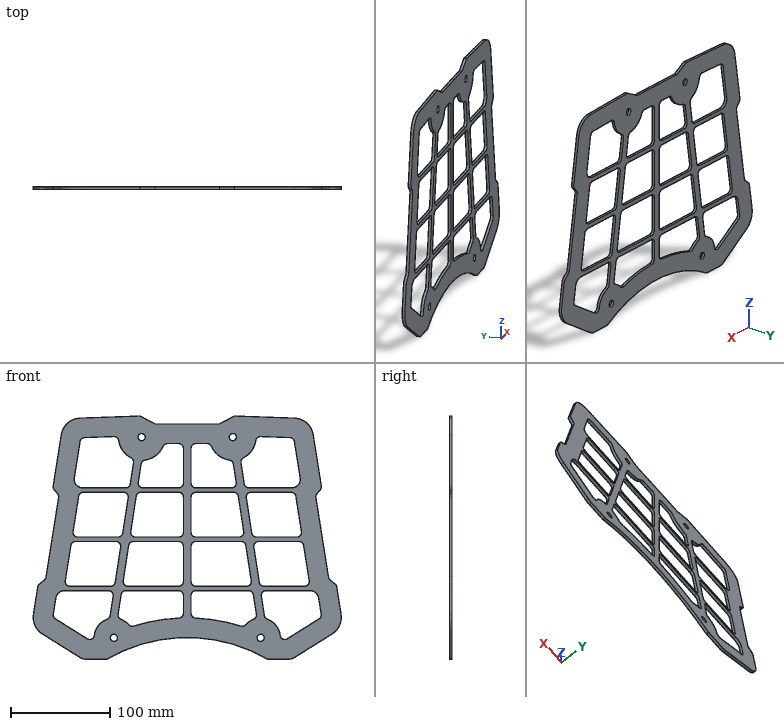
import cadquery as cq
import math

WIDTH = 310.29
HEIGHT = 244.95
THICKNESS = 3.0

RIM = 20.0
SIDE_ANGLE = 9.0
FOOT_ANGLE = 32.0
CORNER_RADIUS = 20.0
NOTCH_RADIUS = 5.0
BEND_RADIUS = 10.0

TOP_BEND_X = 47.5
TOP_ANGLE = 2.0
RECESS_X = 32.3
RECESS_DEPTH = 8.0
UPPER_SIDE_X = 128.7
UPPER_SIDE_Z = 214.5
NOTCH_TOP_Z = 172.0
NOTCH_UPPER_Z = 165.2
NOTCH_SHIFT = 7.3
NOTCH_LOWER_Z = 81.0
NOTCH_BOTTOM_Z = 74.6

FOOT_END_X = 105.2
ARCH_END_X = 80.8
ARCH_HEIGHT = 21.8

WINDOW_RADIUS = 4.5
WIDE_RADIUS = 8.5
BAR_WIDTH = 8.0
CROSS_BAR = 4.7
CROSS_BAR_LOWEST_Z = 71.3
CROSS_BAR_PITCH = 49.5
CROSS_BAR_COUNT = 3
LEAN_BAR_TOP_X = 46.2
LEAN_BAR_ANGLE = 8.7

BOLT_DIAMETER = 7.0
UPPER_BOLT = (45.9, 223.6)
LOWER_BOLT = (73.8, 21.6)
UPPER_BOSS_RADIUS = 23.5
LOWER_BOSS_RADIUS = 20.0

SIDE_SLOPE = math.tan(math.radians(SIDE_ANGLE))
FOOT_SLOPE = math.tan(math.radians(FOOT_ANGLE))
TOP_SLOPE = math.tan(math.radians(TOP_ANGLE))
SIDE_RIM = RIM / math.cos(math.radians(SIDE_ANGLE))
FOOT_RIM = RIM / math.cos(math.radians(FOOT_ANGLE))
TOP_RIM = RIM / math.cos(math.radians(TOP_ANGLE))

HALF_CORNER = math.radians(90 + FOOT_ANGLE - SIDE_ANGLE) / 2
BISECTOR = math.radians(90 + SIDE_ANGLE) + HALF_CORNER
CORNER_INSET = -math.cos(BISECTOR) / math.sin(HALF_CORNER) - 1
LOWER_CORNER_X = WIDTH / 2 + CORNER_RADIUS * CORNER_INSET
LOWER_CORNER_Z = (LOWER_CORNER_X - FOOT_END_X) * FOOT_SLOPE

ARCH_RADIUS = (ARCH_END_X ** 2 + ARCH_HEIGHT ** 2) / (2 * ARCH_HEIGHT)
ARCH_CENTER_Z = ARCH_HEIGHT - ARCH_RADIUS
RECESS_Z = HEIGHT - RECESS_DEPTH
CROSS_BAR_HEIGHTS = [CROSS_BAR_LOWEST_Z + i * CROSS_BAR_PITCH for i in range(CROSS_BAR_COUNT)]


def upper_side(z):
    return UPPER_SIDE_X + (UPPER_SIDE_Z - z) * SIDE_SLOPE


def middle_side(z):
    return upper_side(z) - NOTCH_SHIFT


def lower_side(z):
    return LOWER_CORNER_X - (z - LOWER_CORNER_Z) * SIDE_SLOPE


def top_edge(x):
    return HEIGHT - (x - TOP_BEND_X) * TOP_SLOPE


def foot_edge(x):
    return (x - FOOT_END_X) * FOOT_SLOPE


def arch_z(x):
    """Height of the inner edge of the arched rim."""
    return ARCH_CENTER_Z + math.sqrt((ARCH_RADIUS + RIM) ** 2 - x ** 2)


def top_corner(side_inset, top_inset):
    """Meeting point of the upper side line and top edge line, both moved inward."""
    top_at_center = top_edge(0) - top_inset
    side_at_zero = upper_side(0) - side_inset
    z = (top_at_center - side_at_zero * TOP_SLOPE) / (1 - SIDE_SLOPE * TOP_SLOPE)
    return upper_side(z) - side_inset, z


def extrude(sketch):
    return sketch.extrude(THICKNESS / 2, both=True)


def both_sides(solid):
    return solid.union(solid.mirror("YZ"))


def disc(x, z, radius):
    return extrude(cq.Workplane("XZ").center(x, z).circle(radius))


def round_corners(solid, corners, radius):
    """Round the edges through the plate at the given corners and their mirror images."""
    for x, z in corners:
        for side in (1, -1):
            edge = cq.selectors.NearestToPointSelector((side * x, 0, z))
            solid = solid.edges("|Y").edges(edge).fillet(radius)
    return solid


def make_plate():
    corner = top_corner(0, 0)
    notch_corners = [
        (upper_side(NOTCH_TOP_Z), NOTCH_TOP_Z),
        (middle_side(NOTCH_UPPER_Z), NOTCH_UPPER_Z),
        (middle_side(NOTCH_LOWER_Z), NOTCH_LOWER_Z),
        (lower_side(NOTCH_BOTTOM_Z), NOTCH_BOTTOM_Z),
    ]
    lower_corner = (LOWER_CORNER_X, LOWER_CORNER_Z)
    foot_end = (FOOT_END_X, 0)
    half = (
        cq.Workplane("XZ")
        .moveTo(0, RECESS_Z)
        .lineTo(RECESS_X, RECESS_Z)
        .lineTo(TOP_BEND_X, HEIGHT)
        .lineTo(*corner)
    )
    for point in notch_corners + [lower_corner, foot_end]:
        half = half.lineTo(*point)
    half = half.lineTo(ARCH_END_X, 0).lineTo(0, 0).close()
    plate = both_sides(extrude(half)).clean()
    plate = round_corners(plate, [corner, lower_corner], CORNER_RADIUS)
    plate = round_corners(plate, notch_corners, NOTCH_RADIUS)
    plate = round_corners(plate, [foot_end], BEND_RADIUS)
    return plate.cut(disc(0, ARCH_CENTER_Z, ARCH_RADIUS))


def make_window_area():
    """Right half of the area inside the rim; its side steps lie behind the cross bars."""
    low_bar, _, high_bar = CROSS_BAR_HEIGHTS
    corner_offset = RIM / math.sin(HALF_CORNER)
    corner_x = LOWER_CORNER_X + corner_offset * math.cos(BISECTOR)
    corner_z = LOWER_CORNER_Z + corner_offset * math.sin(BISECTOR)
    middle_x = LOWER_BOLT[0] / 2
    area = (
        cq.Workplane("XZ")
        .moveTo(0, RECESS_Z - RIM)
        .lineTo(UPPER_BOLT[0], RECESS_Z - RIM)
        .lineTo(UPPER_BOLT[0], top_edge(UPPER_BOLT[0]) - TOP_RIM)
        .lineTo(*top_corner(SIDE_RIM, TOP_RIM))
        .lineTo(upper_side(high_bar) - SIDE_RIM, high_bar)
        .lineTo(middle_side(high_bar) - SIDE_RIM, high_bar)
        .lineTo(middle_side(low_bar) - SIDE_RIM, low_bar)
        .lineTo(lower_side(low_bar) - SIDE_RIM, low_bar)
        .lineTo(corner_x, corner_z)
        .lineTo(LOWER_BOLT[0], foot_edge(LOWER_BOLT[0]) + FOOT_RIM)
        .lineTo(LOWER_BOLT[0], arch_z(LOWER_BOLT[0]))
        .threePointArc((middle_x, arch_z(middle_x)), (0, arch_z(0)))
        .close()
    )
    return extrude(area)


def make_bars():
    """Centre bar, cross bars and the leaning bar of the right half."""
    bars = extrude(cq.Workplane("XZ").center(0, HEIGHT / 2).rect(BAR_WIDTH, HEIGHT))
    for z in CROSS_BAR_HEIGHTS:
        bars = bars.union(extrude(cq.Workplane("XZ").center(WIDTH / 4, z).rect(WIDTH / 2, CROSS_BAR)))
    lean = extrude(cq.Workplane("XZ").rect(BAR_WIDTH, 2 * HEIGHT))
    lean = lean.rotate((0, 0, 0), (0, 1, 0), -LEAN_BAR_ANGLE)
    return bars.union(lean.translate((LEAN_BAR_TOP_X, 0, UPPER_BOLT[1])))


def round_windows(windows):
    """Use the wide radius just below the lowest and just above the highest cross bar."""
    below_z = CROSS_BAR_HEIGHTS[0] - CROSS_BAR / 2
    above_z = CROSS_BAR_HEIGHTS[-1] + CROSS_BAR / 2
    wide_corners = [
        cq.selectors.NearestToPointSelector((lower_side(below_z) - SIDE_RIM, 0, below_z)),
        cq.selectors.NearestToPointSelector((upper_side(above_z) - SIDE_RIM, 0, above_z)),
    ]
    corners = windows.edges("|Y")
    wide_edges = [corners.edges(corner).val() for corner in wide_corners]
    other_edges = [
        edge for edge in corners.vals() if not any(edge.isSame(wide) for wide in wide_edges)
    ]
    windows = windows.newObject(other_edges).fillet(WINDOW_RADIUS)
    for corner in wide_corners:
        windows = windows.edges("|Y").edges(corner).fillet(WIDE_RADIUS)
    return windows


def make_windows():
    windows = make_window_area().cut(make_bars())
    windows = windows.cut(disc(*UPPER_BOLT, UPPER_BOSS_RADIUS))
    windows = windows.cut(disc(*LOWER_BOLT, LOWER_BOSS_RADIUS))
    return round_windows(windows)


def make_bolt_holes():
    holes = disc(*UPPER_BOLT, BOLT_DIAMETER / 2).union(disc(*LOWER_BOLT, BOLT_DIAMETER / 2))
    return both_sides(holes)


result = make_plate().cut(both_sides(make_windows())).cut(make_bolt_holes())